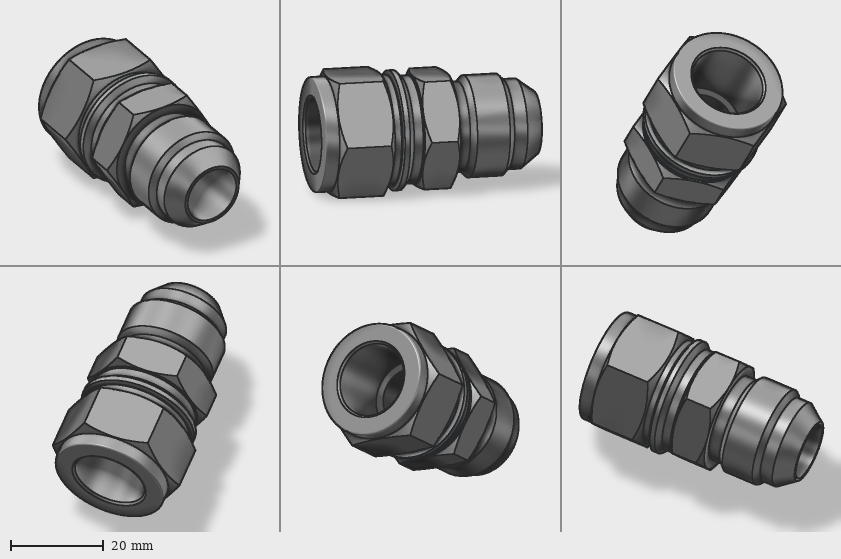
import cadquery as cq
import math

total_length = 49.45

nut_corners = 29.3
nut_start = 3.05
nut_end = 15.45
nut_front_diameter = 25.0
nut_back_diameter = 24.3
body_corners = 27.55
body_start = 22.2
body_end = 30.1
body_face_diameter = body_corners * math.cos(math.radians(30))
hex_chamfer_angle = 30.0

lip_diameter = nut_front_diameter
lip_rounding = 0.45
collar_diameter = nut_back_diameter
collar_end = 17.1
collar_chamfer = 0.2
groove_diameter = 22.25

flange_diameter = 26.1
flange_start = 17.45
flange_rim_end = 18.65
shoulder_diameter = 23.5
shoulder_start = 19.8
shoulder_chamfer = 0.4

neck_diameter = 19.6
thread_diameter = 22.2
thread_start = 32.75
thread_end = 42.6
thread_chamfer = (thread_diameter - neck_diameter) / 2
cone_start = 45.53
cone_tip_diameter = 13.85

bore_diameter = 12.5
tube_socket_diameter = 16.05
tube_socket_depth = 15.45
socket_chamfer = 0.5


def revolve_profile(points):
    """Turn (x, diameter) points around the X axis, closed along the axis."""
    outline = [(x, diameter / 2) for x, diameter in points]
    outline = [(points[0][0], 0)] + outline + [(points[-1][0], 0)]
    return cq.Workplane("XY").polyline(outline).close().revolve(360, (0, 0, 0), (1, 0, 0))


def cylinder(start, end, diameter):
    return revolve_profile([(start, diameter), (end, diameter)])


def chamfered_hexagon(start, end, corners, start_diameter, end_diameter):
    """Hexagon whose corners are trimmed by a cone at each end."""
    slope = math.tan(math.radians(hex_chamfer_angle)) / 2
    start_run = (corners - start_diameter) * slope
    end_run = (corners - end_diameter) * slope
    hexagon = (
        cq.Workplane("YZ", origin=(start, 0, 0))
        .polygon(6, corners)
        .extrude(end - start)
    )
    envelope = revolve_profile([
        (start, start_diameter),
        (start + start_run, corners),
        (end - end_run, corners),
        (end, end_diameter),
    ])
    return hexagon.intersect(envelope)


lip = cylinder(0, nut_start, lip_diameter).faces("<X").edges().fillet(lip_rounding)
nut = chamfered_hexagon(nut_start, nut_end, nut_corners, nut_front_diameter, nut_back_diameter)
collar = cylinder(nut_end, collar_end, collar_diameter).faces(">X").edges().chamfer(collar_chamfer)
groove = cylinder(collar_end, flange_start, groove_diameter)

flange = revolve_profile([
    (flange_start, flange_diameter),
    (flange_rim_end, flange_diameter),
    (shoulder_start, shoulder_diameter),
    (body_start - shoulder_chamfer, shoulder_diameter),
    (body_start, shoulder_diameter - 2 * shoulder_chamfer),
])

body_hexagon = chamfered_hexagon(
    body_start, body_end, body_corners, body_face_diameter, body_face_diameter
)

flared_end = revolve_profile([
    (body_end, neck_diameter),
    (thread_start, neck_diameter),
    (thread_start + thread_chamfer, thread_diameter),
    (thread_end - thread_chamfer, thread_diameter),
    (thread_end, neck_diameter),
    (cone_start, neck_diameter),
    (total_length, cone_tip_diameter),
])

bore = revolve_profile([
    (0, tube_socket_diameter + 2 * socket_chamfer),
    (socket_chamfer, tube_socket_diameter),
    (tube_socket_depth, tube_socket_diameter),
    (tube_socket_depth, bore_diameter),
    (total_length, bore_diameter),
])

result = lip
for section in (nut, collar, groove, flange, body_hexagon, flared_end):
    result = result.union(section)
result = result.cut(bore)